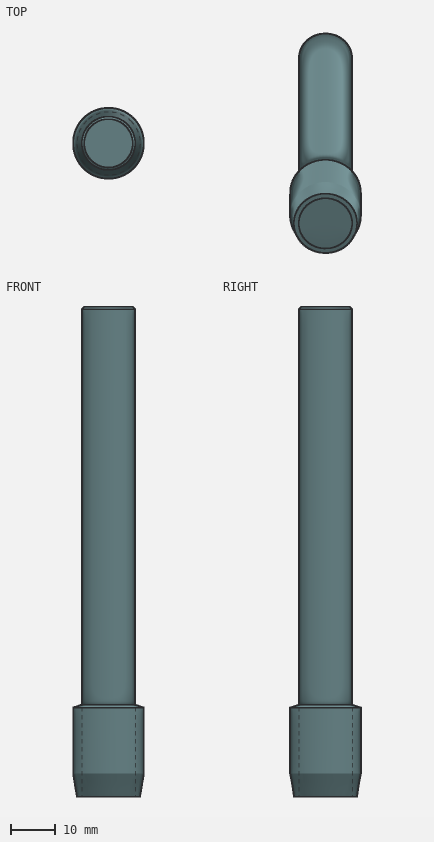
import cadquery as cq

total_length = 110.0
rod_radius = 12.0 / 2
sleeve_radius = 16.0 / 2

rod_chamfer_height = 0.5
rod_chamfer_width = 0.5

sleeve_length = 20.7
shoulder_height = 0.7
nose_height = 5.3
nose_radius = 14.2 / 2


def make_rod():
    """Plain round rod with a chamfered top end."""
    return (
        cq.Workplane("XZ")
        .lineTo(rod_radius, 0)
        .lineTo(rod_radius, total_length - rod_chamfer_height)
        .lineTo(rod_radius - rod_chamfer_width, total_length)
        .lineTo(0, total_length)
        .close()
        .revolve(360, (0, 0), (0, 1))
    )


def make_sleeve():
    """Sleeve bored for the rod, with a tapered nose below and a conical shoulder above."""
    return (
        cq.Workplane("XZ")
        .moveTo(rod_radius, 0)
        .lineTo(nose_radius, 0)
        .lineTo(sleeve_radius, nose_height)
        .lineTo(sleeve_radius, sleeve_length - shoulder_height)
        .lineTo(rod_radius, sleeve_length)
        .close()
        .revolve(360, (0, 0), (0, 1))
    )


rod = make_rod()
sleeve = make_sleeve()

result = cq.Compound.makeCompound([rod.val(), sleeve.val()])